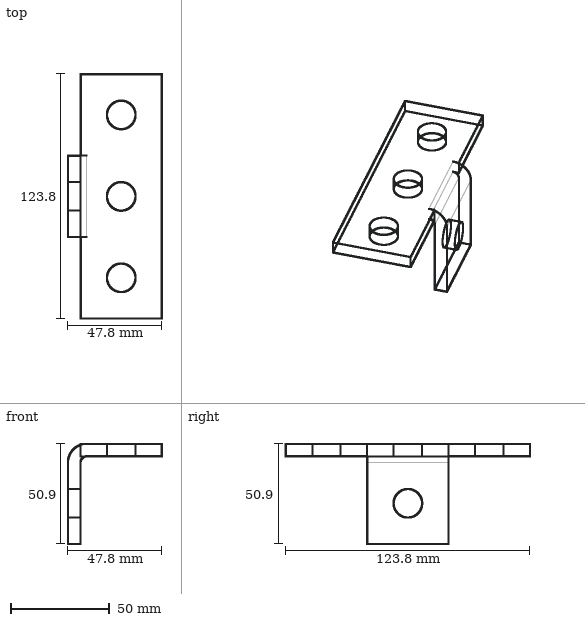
import cadquery as cq

plate_length = 123.8
hole_count = 3
thickness = 6.5
inner_bend_radius = 3.1
hole_diameter = 14.4

cell = plate_length / hole_count
outer_bend_radius = inner_bend_radius + thickness
tab_height = cell + outer_bend_radius

plate_center_x = thickness + cell / 2
tab_hole_z = -tab_height + cell / 2


def make_plate():
    """Flat plate with a row of through holes along Y."""
    plate = cq.Workplane("XY").box(cell, plate_length, thickness)
    plate = plate.faces(">Z").workplane().rarray(1.2, cell, 1, hole_count).hole(hole_diameter)
    return plate.translate((plate_center_x, 0, -thickness / 2))


def make_tab():
    """Tab that hangs from the plate's edge through a quarter-round bend."""
    bend = (outer_bend_radius, -outer_bend_radius)
    tab = (
        cq.Workplane("XZ")
        .moveTo(0, -tab_height)
        .lineTo(0, bend[1])
        .radiusArc((bend[0], 0), outer_bend_radius)
        .lineTo(bend[0], -thickness)
        .radiusArc((thickness, bend[1]), -inner_bend_radius)
        .lineTo(thickness, -tab_height)
        .close()
        .extrude(cell / 2, both=True)
    )
    hole = cq.Workplane("YZ").center(0, tab_hole_z).circle(hole_diameter / 2).extrude(thickness)
    return tab.cut(hole)


def make_bend_notch():
    """Space in the plate's edge that the bend fills, so its round runs out on the top face."""
    notch = cq.Workplane("XY").box(outer_bend_radius, cell, thickness)
    return notch.translate((outer_bend_radius / 2, 0, -thickness / 2))


result = make_plate().cut(make_bend_notch()).union(make_tab())